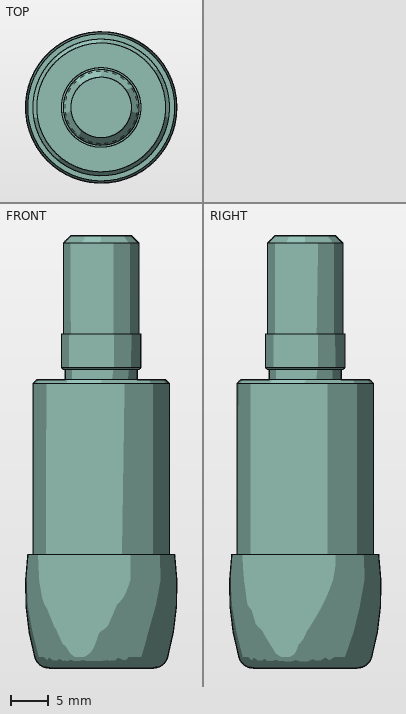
import cadquery as cq

TOTAL_HEIGHT = 57
CAP_HEIGHT = 15.0
BODY_TOP = 38.0

CAP_RADIUS = 10.005
BULGE_HEIGHT = 10.45
BULGE_ARC_RADIUS = 33.05
CAP_EDGE_FILLET = 2.0

BODY_DIAMETER = 18.0
BODY_CHAMFER = 0.5
NECK_DIAMETER = 9.5
COLLAR_DIAMETER = 10.5
COLLAR_BOTTOM = 39.35
COLLAR_TOP = 44.05
COLLAR_CHAMFER = 0.3
STUD_DIAMETER = 10.0
STUD_CHAMFER = 1.0


def bulge_radius(height):
    """Radius of the cap's barrel-shaped side at a given height."""
    rise = height - BULGE_HEIGHT
    return CAP_RADIUS - BULGE_ARC_RADIUS + (BULGE_ARC_RADIUS**2 - rise**2) ** 0.5


def cylinder(diameter, bottom, top):
    """Upright cylinder on the Z axis between two heights."""
    return cq.Workplane("XY").workplane(offset=bottom).circle(diameter / 2).extrude(top - bottom)


def make_cap():
    """Solid barrel-shaped cap with a rounded lower edge."""
    profile = (
        cq.Workplane("XZ")
        .lineTo(bulge_radius(0), 0)
        .threePointArc((CAP_RADIUS, BULGE_HEIGHT), (bulge_radius(CAP_HEIGHT), CAP_HEIGHT))
        .lineTo(0, CAP_HEIGHT)
        .close()
    )
    cap = profile.revolve(360, (0, 0, 0), (0, 1, 0))
    return cap.faces("<Z").edges().fillet(CAP_EDGE_FILLET)


def make_body():
    """Cylinder standing on the cap, with a neck, a collar and a stud on top."""
    barrel = cylinder(BODY_DIAMETER, CAP_HEIGHT, BODY_TOP).faces(">Z").chamfer(BODY_CHAMFER)
    neck = cylinder(NECK_DIAMETER, BODY_TOP, COLLAR_BOTTOM)
    collar = cylinder(COLLAR_DIAMETER, COLLAR_BOTTOM, COLLAR_TOP).faces("<Z").chamfer(COLLAR_CHAMFER)
    stud = cylinder(STUD_DIAMETER, COLLAR_TOP, TOTAL_HEIGHT).faces(">Z").chamfer(STUD_CHAMFER)
    return barrel.union(neck).union(collar).union(stud)


cap = make_cap()
body = make_body()

result = cq.Compound.makeCompound([cap.val(), body.val()])